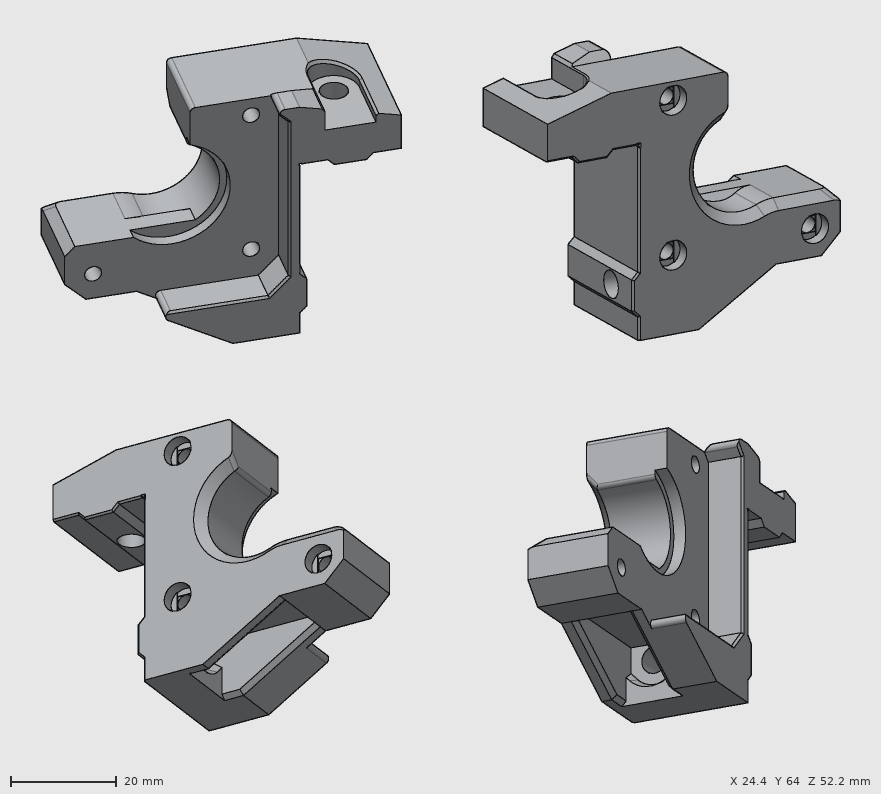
import cadquery as cq
import math

total_width = 24.4
plate_width = 17.0
overcut = 6.4
pick_margin = 0.2

depth = 64.0
nose_y = 24.6
post_y = 44.1
top_z = 50.55
crest_y = 44.0
crest_z = 52.2
arm_end_z = 46.7
arm_underside_z = 39.05
foot_y = 31.0
lower_arm_z = 10.2
lower_arm_knee_y = 14.1
lower_arm_corner = 4.15
ledge_z = 22.8
edge_round = 1.0

tab_height = 1.35
tab_tip_width = 6.3
arm_bolt_y = 54.0
post_bolt_z = 9.15
rail_edge_chamfer = 0.4
corner_relief_width = 0.3
corner_relief_depth = 0.1

bore_y = 21.05
bore_z = 31.3
bore_radius = 10.0
mouth_chamfer = 2.0
corner_round = 2.0
screw_pitch = 31.0
screw_diameter = 3.3
screw_head_diameter = 5.9
screw_head_depth = 2.55
bridge_step = 0.2
relief_radius = 11.4
relief_start_x = 14.5
scoop_end_x = 10.7

pocket_back_y = 41.9
shelf_z = 9.55
shelf_slope = 4.0
lip_edge_y = 38.7
pocket_edge_chamfer = 0.45

bolt_diameter = 5.5
bolt_head_radius = 5.0
bolt_seat_thickness = 7.0
arm_bolt_x = 12.35
slot_edge_chamfer = 0.6
post_bolt_x = 8.1
groove_min_x = 3.1
groove_max_x = 14.1
groove_chamfer = 0.95
groove_headroom = 3.2
seat_depth = 2.0
seat_flare = 1.0


def side_plane(x):
    """Sketch plane facing +X whose local axes are Y and Z."""
    return cq.Workplane("YZ", origin=(x, 0, 0))


def prism(points, x_start, x_end):
    return side_plane(x_start).polyline(points).close().extrude(x_end - x_start)


def edges_within(x_range, y_range, z_range):
    """Selects edges whose centre lies in the given ranges, widened by the margin."""
    low, high = zip(x_range, y_range, z_range)
    return cq.selectors.BoxSelector(
        [value - pick_margin for value in low],
        [value + pick_margin for value in high],
    )


def edges_along_x(x_range, y, z):
    """Selects edges centred at the given Y and Z, between two X positions."""
    return edges_within(x_range, (y, y), (z, z))


half_tip = tab_tip_width / 2
half_base = half_tip + tab_height
rail_outline = [
    (depth, arm_underside_z),
    (arm_bolt_y + half_base, arm_underside_z),
    (arm_bolt_y + half_tip, arm_underside_z - tab_height),
    (arm_bolt_y - half_tip, arm_underside_z - tab_height),
    (arm_bolt_y - half_base, arm_underside_z),
    (post_y + corner_relief_width, arm_underside_z),
    (post_y + corner_relief_width, arm_underside_z + corner_relief_depth),
    (post_y - corner_relief_depth, arm_underside_z + corner_relief_depth),
    (post_y - corner_relief_depth, arm_underside_z - corner_relief_width),
    (post_y, arm_underside_z - corner_relief_width),
    (post_y, post_bolt_z + half_base),
    (post_y + tab_height, post_bolt_z + half_tip),
    (post_y + tab_height, post_bolt_z - half_tip),
    (post_y, post_bolt_z - half_base),
    (post_y, 0),
]
front_outline = [
    (foot_y, 0),
    (lower_arm_knee_y, lower_arm_z),
    (lower_arm_corner, lower_arm_z),
    (0, lower_arm_z + lower_arm_corner),
    (0, ledge_z - mouth_chamfer),
    (mouth_chamfer, ledge_z),
    (nose_y, ledge_z),
    (nose_y, crest_z),
    (crest_y, crest_z),
    (depth, arm_end_z),
]
outline = rail_outline + front_outline

pocket_outline = [
    (lip_edge_y, crest_z + overcut),
    (lip_edge_y, crest_z),
    (pocket_back_y, crest_z - (pocket_back_y - lip_edge_y)),
    (pocket_back_y, shelf_z + shelf_slope),
    (pocket_back_y - shelf_slope, shelf_z),
    (-overcut, shelf_z),
    (-overcut, crest_z + overcut),
]
shelf_edge_y = foot_y - shelf_z * (foot_y - lower_arm_knee_y) / lower_arm_z
motor_side = prism(outline, plate_width, total_width)
motor_side = motor_side.cut(prism(pocket_outline, plate_width, total_width))
for edge_y, edge_z in [(lip_edge_y, crest_z), (shelf_edge_y, shelf_z)]:
    tip_edge = edges_along_x((plate_width, total_width), edge_y, edge_z)
    motor_side = motor_side.edges(tip_edge).fillet(edge_round)
pocket_rim = (
    side_plane(total_width - pocket_edge_chamfer)
    .polyline(pocket_outline)
    .close()
    .extrude(pocket_edge_chamfer, taper=-45)
)
motor_side = motor_side.cut(pocket_rim)

body = prism(outline, 0, plate_width).union(motor_side)

behind_y = depth + overcut
behind_part = [(post_y, -overcut), (behind_y, -overcut), (behind_y, arm_underside_z)]
rail_chamfer = (
    side_plane(rail_edge_chamfer)
    .polyline(rail_outline + behind_part)
    .close()
    .extrude(-rail_edge_chamfer, taper=-45)
)
body = body.cut(rail_chamfer)

arm_seat_z = arm_underside_z + bolt_seat_thickness
slot = (
    cq.Workplane("XY", origin=(0, 0, arm_seat_z))
    .moveTo(total_width + overcut, arm_bolt_y - bolt_head_radius)
    .lineTo(arm_bolt_x, arm_bolt_y - bolt_head_radius)
    .threePointArc((arm_bolt_x - bolt_head_radius, arm_bolt_y), (arm_bolt_x, arm_bolt_y + bolt_head_radius))
    .lineTo(total_width + overcut, arm_bolt_y + bolt_head_radius)
    .close()
    .extrude(overcut)
)
arm_bolt = (
    cq.Workplane("XY", origin=(arm_bolt_x, arm_bolt_y, arm_underside_z - tab_height))
    .circle(bolt_diameter / 2)
    .extrude(crest_z - arm_underside_z)
)
body = body.cut(slot)
slot_rim = edges_within(
    (arm_bolt_x - bolt_head_radius, (arm_bolt_x + total_width) / 2),
    (arm_bolt_y - bolt_head_radius, arm_bolt_y + bolt_head_radius),
    (arm_seat_z + 2 * pick_margin, crest_z),
) - cq.selectors.ParallelDirSelector(cq.Vector(0, 0, 1))
body = body.edges(slot_rim).chamfer(slot_edge_chamfer)
body = body.cut(arm_bolt)

flat_top = (
    cq.Workplane("XZ")
    .polyline([
        (-overcut, top_z),
        (plate_width, top_z),
        (plate_width + overcut, top_z + overcut),
        (-overcut, top_z + overcut),
    ])
    .close()
    .extrude(-depth)
)
body = body.cut(flat_top)

ledge_drop = bore_z - ledge_z
blend_y = bore_y - math.sqrt((2 * bore_radius) ** 2 - (ledge_drop + bore_radius) ** 2)
blend_z = ledge_z - bore_radius
touch_y = (bore_y + blend_y) / 2
touch_z = (bore_z + blend_z) / 2
blend_mid_angle = (math.pi / 2 + math.atan2(touch_z - blend_z, touch_y - blend_y)) / 2
blend_mid = (
    blend_y + bore_radius * math.cos(blend_mid_angle),
    blend_z + bore_radius * math.sin(blend_mid_angle),
)


def opening(x):
    """Outline of the bore, blended to the ledge and open towards -Y."""
    return (
        side_plane(x)
        .moveTo(-overcut, ledge_z)
        .lineTo(blend_y, ledge_z)
        .threePointArc(blend_mid, (touch_y, touch_z))
        .threePointArc((bore_y + bore_radius, bore_z), (bore_y, bore_z + bore_radius))
        .lineTo(-overcut, bore_z + bore_radius)
        .close()
    )


def above_ledge(end_x):
    """Everything above the ledge, plus a 45 degree ramp that falls towards -X below it."""
    return (
        cq.Workplane("XZ")
        .polyline([
            (-overcut, ledge_z - overcut),
            (end_x - overcut, ledge_z - overcut),
            (end_x, ledge_z),
            (total_width, ledge_z),
            (total_width, depth),
            (-overcut, depth),
        ])
        .close()
        .extrude(-depth)
    )


bore = opening(0).extrude(plate_width).intersect(above_ledge(scoop_end_x))
mouth = opening(mouth_chamfer).extrude(-mouth_chamfer, taper=-45)
relief = (
    side_plane(relief_start_x)
    .center(bore_y, bore_z)
    .circle(relief_radius)
    .extrude(plate_width - relief_start_x)
)
body = body.cut(bore).cut(mouth)

nose_edge_z = bore_z + math.sqrt(bore_radius ** 2 - (nose_y - bore_y) ** 2)
body = body.edges(edges_along_x((0, plate_width), nose_y, top_z)).fillet(edge_round)
nose_lower_edges = edges_within(
    (0, plate_width),
    (nose_y, nose_y),
    (nose_edge_z, nose_edge_z + mouth_chamfer),
)
body = body.edges(nose_lower_edges).fillet(edge_round)
body = body.cut(relief)

half_chamfer = mouth_chamfer / 2
arm_corner = edges_along_x((0, mouth_chamfer), half_chamfer, ledge_z - half_chamfer)
body = body.edges(arm_corner).fillet(corner_round)

seat_y = post_y - bolt_seat_thickness
groove_floor_y = seat_y - seat_depth
groove_top_z = post_bolt_z + groove_headroom
groove = (
    cq.Workplane("XY")
    .moveTo(groove_min_x, lower_arm_knee_y)
    .lineTo(groove_min_x, groove_floor_y)
    .lineTo(groove_max_x, groove_floor_y)
    .lineTo(groove_max_x, lower_arm_knee_y)
    .close()
    .extrude(groove_top_z)
)


def head_profile(y):
    """Round seat whose sides flare upward at 45 degrees."""
    diagonal = bolt_head_radius / math.sqrt(2)
    flare = groove_max_x - groove_min_x
    return (
        cq.Workplane("XZ", origin=(post_bolt_x, y, post_bolt_z))
        .moveTo(-diagonal - flare, flare - diagonal)
        .lineTo(-diagonal, -diagonal)
        .threePointArc((0, -bolt_head_radius), (diagonal, -diagonal))
        .lineTo(diagonal + flare, flare - diagonal)
        .close()
    )


seat_taper = math.degrees(math.atan2(seat_flare, seat_depth))
seat = head_profile(seat_y).extrude(seat_depth, taper=-seat_taper)
seat_limits = groove.translate((0, seat_depth, 0))
post_bolt = (
    cq.Workplane("XZ", origin=(post_bolt_x, groove_floor_y, post_bolt_z))
    .circle(bolt_diameter / 2)
    .extrude(-post_y)
)
body = body.cut(groove)
for wall_x in (groove_min_x, groove_max_x):
    wall_edges = edges_within(
        (wall_x, wall_x),
        (lower_arm_knee_y + 2 * pick_margin, groove_floor_y - 2 * pick_margin),
        (0, lower_arm_z - 2 * pick_margin),
    )
    body = body.edges(wall_edges).chamfer(groove_chamfer)
body = body.cut(seat.intersect(seat_limits)).cut(post_bolt)


def screw_hole(y, z):
    """Head recess, a strip and a square bridging step, then the round hole."""
    def at(x):
        return side_plane(x).center(y, z)

    head = at(0).circle(screw_head_diameter / 2).extrude(screw_head_depth)
    strip = (
        at(screw_head_depth)
        .rect(screw_diameter, screw_head_diameter)
        .extrude(bridge_step)
        .intersect(at(0).circle(screw_head_diameter / 2).extrude(plate_width))
    )
    square = at(screw_head_depth).rect(screw_diameter, screw_diameter).extrude(2 * bridge_step)
    shank = at(0).circle(screw_diameter / 2).extrude(total_width)
    return head.union(strip).union(square).union(shank)


half_pitch = screw_pitch / 2
for side_y, side_z in [(1, 1), (1, -1), (-1, -1)]:
    body = body.cut(screw_hole(bore_y + side_y * half_pitch, bore_z + side_z * half_pitch))

result = body.solids()